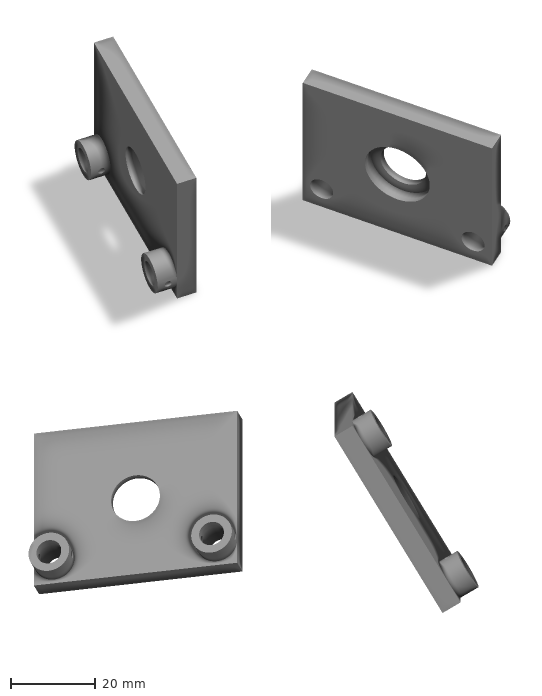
import cadquery as cq

plate_width = 50.0
plate_height = 40.0
total_depth = 10.0
plate_thickness = 5.0

opening_diameter = 12.0
recess_diameter = 17.1
opening_lip = 1.75
recess_depth = plate_thickness - opening_lip

boss_diameter = 10.0
boss_length = total_depth - plate_thickness
boss_bore_diameter = 6.1
boss_x = (plate_width - boss_diameter) / 2
boss_height_above_base = 6.0
boss_z = boss_height_above_base - plate_height / 2

cross_hole_diameter = 1.8
cross_hole_from_rear = 7.3

rear_y = total_depth / 2
plate_front_y = rear_y - plate_thickness
cross_hole_y = rear_y - cross_hole_from_rear


def cylinder_along_y(diameter, x, start_y, z, length):
    """Cylinder that starts at start_y and runs toward -Y."""
    start = cq.Vector(x, start_y, z)
    return cq.Workplane(cq.Solid.makeCylinder(diameter / 2, length, start, cq.Vector(0, -1, 0)))


def make_plate():
    plate = cq.Workplane("XY").box(plate_width, plate_thickness, plate_height)
    plate = plate.translate((0, rear_y - plate_thickness / 2, 0))
    opening = cylinder_along_y(opening_diameter, 0, rear_y, 0, plate_thickness)
    recess = cylinder_along_y(recess_diameter, 0, rear_y, 0, recess_depth)
    return plate.cut(opening).cut(recess)


def add_boss(body, x):
    """Add a boss and bore it through to the rear face of the plate."""
    boss = cylinder_along_y(boss_diameter, x, plate_front_y, boss_z, boss_length)
    bore = cylinder_along_y(boss_bore_diameter, x, rear_y, boss_z, total_depth)
    return body.union(boss).cut(bore)


def make_cross_hole():
    """One straight hole along X that passes through both bosses."""
    start = cq.Vector(-plate_width / 2, cross_hole_y, boss_z)
    return cq.Workplane(
        cq.Solid.makeCylinder(cross_hole_diameter / 2, plate_width, start, cq.Vector(1, 0, 0))
    )


result = make_plate()
for side in (-1, 1):
    result = add_boss(result, side * boss_x)
result = result.cut(make_cross_hole())